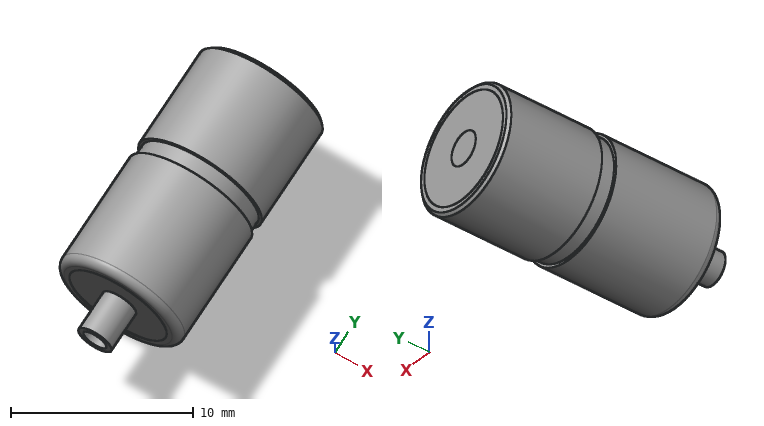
import cadquery as cq
import math

overall_length = 17.4
contact_projection = 2.4
housing_length = overall_length - contact_projection
front_y = -housing_length / 2
rear_y = front_y + housing_length

housing_diameter = 8.0
front_fillet = 0.5
rear_chamfer = 0.2
groove_diameter = 7.6
groove_width = 1.0
groove_from_rear = 6.5

front_opening_diameter = 6.3
lip_depth = 0.15
bore_diameter = housing_diameter - 2 * front_fillet

insulator_front_y = front_y + lip_depth
insulator_length = housing_length - lip_depth

contact_diameter = 2.15
socket_diameter = 1.5
socket_depth = 2.4
drill_point_angle = 118.0


def cylinder(diameter, start_y, length):
    """Solid cylinder on the Y axis, running from start_y toward +Y."""
    return cq.Workplane(cq.Solid.makeCylinder(
        diameter / 2, length, cq.Vector(0, start_y, 0), cq.Vector(0, 1, 0)))


def make_bore():
    """Bore open at the rear, narrowing in a cone to the opening in the front face."""
    return (
        cq.Workplane("XY")
        .moveTo(0, front_y)
        .lineTo(front_opening_diameter / 2, front_y)
        .lineTo(bore_diameter / 2, insulator_front_y)
        .lineTo(bore_diameter / 2, rear_y)
        .lineTo(0, rear_y)
        .close()
        .revolve(360, (0, 0, 0), (0, 1, 0))
    )


def make_housing():
    """Grooved sleeve with a rounded front rim, a sharp front lip and a chamfered rear rim."""
    body = cylinder(housing_diameter, front_y, housing_length)
    body = body.faces("<Y").edges().fillet(front_fillet)
    body = body.faces(">Y").edges().chamfer(rear_chamfer)

    groove_y = rear_y - groove_from_rear - groove_width
    groove = cylinder(housing_diameter, groove_y, groove_width)
    groove = groove.cut(cylinder(groove_diameter, groove_y, groove_width))
    return body.cut(groove).cut(make_bore())


def make_insulator():
    """Bushing from the front lip to the rear face, with a hole for the contact."""
    bushing = cylinder(bore_diameter, insulator_front_y, insulator_length)
    return bushing.cut(cylinder(contact_diameter, insulator_front_y, insulator_length))


def make_contact():
    """Pin flush with the rear face, with a cone-bottomed socket in its front tip."""
    tip_y = front_y - contact_projection
    pin = cylinder(contact_diameter, tip_y, overall_length)
    socket_radius = socket_diameter / 2
    point_length = socket_radius / math.tan(math.radians(drill_point_angle / 2))
    socket = (
        cq.Workplane("XY")
        .moveTo(0, tip_y)
        .lineTo(socket_radius, tip_y)
        .lineTo(socket_radius, tip_y + socket_depth)
        .lineTo(0, tip_y + socket_depth + point_length)
        .close()
        .revolve(360, (0, 0, 0), (0, 1, 0))
    )
    return pin.cut(socket)


housing = make_housing()
insulator = make_insulator()
contact = make_contact()

result = cq.Compound.makeCompound([housing.val(), insulator.val(), contact.val()])